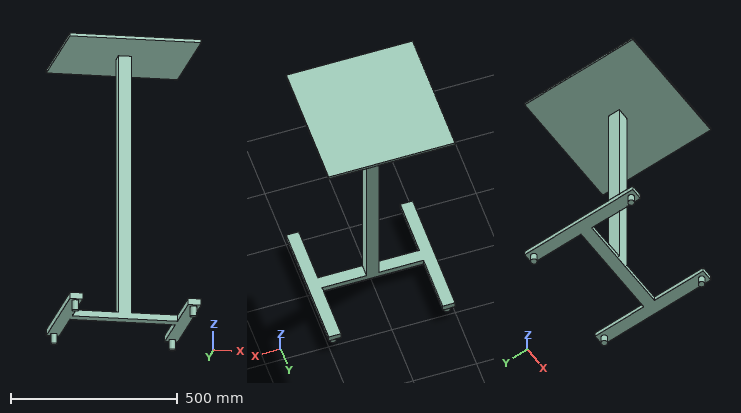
import cadquery as cq

width = 400.0
depth = 400.0
height = 860.0

top_thickness = 10.0

column_side = 40.0
bar_width = 40.0
bar_height = 20.0

foot_diameter = 20.0
foot_height = 30.0
foot_inset = 20.0

bar_top = foot_height + bar_height
top_underside = height - top_thickness
side_bar_x = (width - bar_width) / 2
foot_x = width / 2 - foot_inset
foot_y = depth / 2 - foot_inset


def block(size_x, size_y, z_bottom, z_top, center_x=0.0):
    """Box centred on Y = 0 that spans the given heights."""
    return (
        cq.Workplane("XY", origin=(center_x, 0, z_bottom))
        .rect(size_x, size_y)
        .extrude(z_top - z_bottom)
    )


def make_base():
    """Two side bars along Y joined by a cross bar along X."""
    base = block(width - bar_width, bar_width, foot_height, bar_top)
    for side in (-1, 1):
        base = base.union(block(bar_width, depth, foot_height, bar_top, side * side_bar_x))
    return base


def make_feet():
    """Four round feet, one under each end of the side bars."""
    return (
        cq.Workplane("XY")
        .rect(2 * foot_x, 2 * foot_y, forConstruction=True)
        .vertices()
        .circle(foot_diameter / 2)
        .extrude(foot_height)
    )


table_top = block(width, depth, top_underside, height)
column = block(column_side, column_side, bar_top, top_underside)

result = make_base().union(make_feet()).union(column).union(table_top)